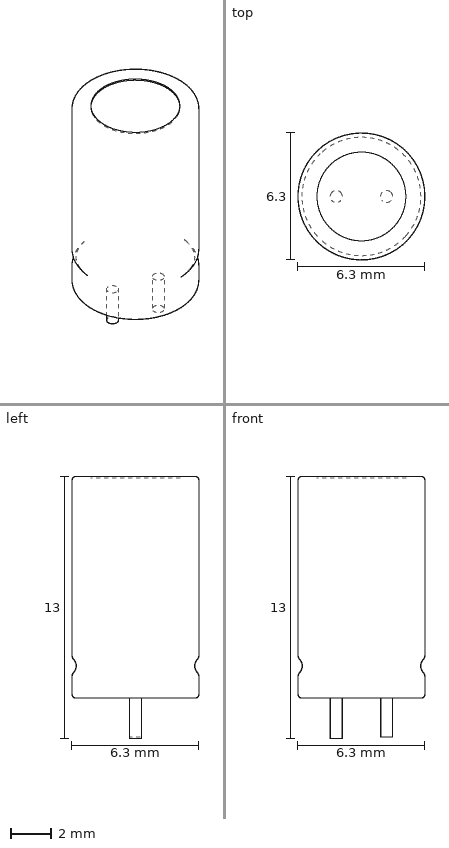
import cadquery as cq
import math

total_height = 13.0
can_diameter = 6.3
can_radius = can_diameter / 2
edge_radius = 0.2

lead_diameter = 0.6
lead_spacing = 2.5
long_lead = 2.0
short_lead = 1.92

recess_diameter = 4.41
recess_depth = 0.08

groove_height = 1.6
groove_depth = 0.21
groove_radius = 0.48
lip_radius = 0.29

can_base = 0.0
can_top = total_height - long_lead


def arc_point(center, radius, angle):
    """Point in the radial half-plane, at an angle from the outward direction."""
    return (center[0] + radius * math.cos(angle), center[1] + radius * math.sin(angle))


def make_can():
    """Revolve the can outline, with its crimp groove, about the Z axis."""
    groove_center = (can_radius - groove_depth + groove_radius, groove_height)
    lip_x = can_radius - lip_radius
    lip_angle = math.acos((groove_center[0] - lip_x) / (groove_radius + lip_radius))
    lip_rise = (groove_radius + lip_radius) * math.sin(lip_angle)
    lower_lip = (lip_x, groove_height - lip_rise)
    upper_lip = (lip_x, groove_height + lip_rise)

    outline = (
        cq.Workplane("XZ")
        .moveTo(0, can_base)
        .lineTo(can_radius, can_base)
        .lineTo(can_radius, lower_lip[1])
        .threePointArc(
            arc_point(lower_lip, lip_radius, lip_angle / 2),
            arc_point(lower_lip, lip_radius, lip_angle),
        )
        .threePointArc(
            (can_radius - groove_depth, groove_height),
            arc_point(upper_lip, lip_radius, -lip_angle),
        )
        .threePointArc(
            arc_point(upper_lip, lip_radius, -lip_angle / 2),
            (can_radius, upper_lip[1]),
        )
        .lineTo(can_radius, can_top)
        .lineTo(0, can_top)
        .close()
    )
    can = outline.revolve(360, (0, 0, 0), (0, 1, 0))
    return can.faces("<Z or >Z").edges().fillet(edge_radius)


def make_lead(x, length):
    """Round lead hanging below the can base."""
    return (
        cq.Workplane("XY", origin=(x, 0, can_base))
        .circle(lead_diameter / 2)
        .extrude(-length)
    )


def make_top_recess():
    """Shallow disc removed from the top face."""
    return (
        cq.Workplane("XY", origin=(0, 0, can_top))
        .circle(recess_diameter / 2)
        .extrude(-recess_depth)
    )


result = (
    make_can()
    .cut(make_top_recess())
    .union(make_lead(-lead_spacing / 2, long_lead))
    .union(make_lead(lead_spacing / 2, short_lead))
)